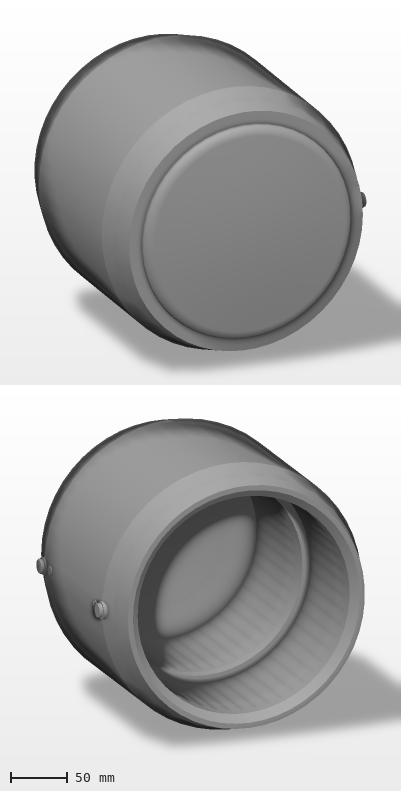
import cadquery as cq
import math

body_length = 217.5
body_radius = 122.38
end_radius = 111.5
taper_length = 36.7
bore_radius = 99.8
mouth_radius = 106.8
mouth_depth = 7.0

cap_start = 105.8
total_length = 233.3
cap_bore_radius = 92.3
cap_neck_radius = 91.5
cap_neck_start = 114.8
dome_radius = 561.4
knuckle_radius = 10.0
cap_wall = 7.5

terminal_flange_radius = 8.0
terminal_flange_top = 123.8
terminal_neck_radius = 6.2
terminal_head_radius = 6.7
terminal_head_height = 1.7
overall_width = 249.5
terminal_top = overall_width - body_radius
embed_depth = 6.2
terminal_base = body_radius - embed_depth
terminal_inset = 35.7
terminal_positions = (terminal_inset, body_length - terminal_inset)

pin_radius = 4.5
pin_top = 123.3
pin_offset = 16.0


def sleeve():
    """Hollow sleeve with conical ends and a chamfered bore mouth at the open -X end."""
    profile = (
        cq.Workplane("XY")
        .moveTo(0, mouth_radius)
        .lineTo(0, end_radius)
        .lineTo(taper_length, body_radius)
        .lineTo(body_length - taper_length, body_radius)
        .lineTo(body_length, end_radius)
        .lineTo(body_length, bore_radius)
        .lineTo(mouth_depth, bore_radius)
        .close()
    )
    return profile.revolve(360, (0, 0, 0), (1, 0, 0))


def cap():
    """Tubular plug closed by a shallow dome of nearly even wall thickness."""
    dome_center_x = total_length - dome_radius
    inner_dome_radius = dome_radius - cap_wall

    def dome_point(distance, radius):
        return dome_center_x + math.sqrt(distance**2 - radius**2), radius

    knuckle_x, knuckle_y = dome_point(dome_radius - knuckle_radius, bore_radius - knuckle_radius)
    dome_edge_radius = knuckle_y * dome_radius / (dome_radius - knuckle_radius)
    dome_edge_angle = math.asin(dome_edge_radius / dome_radius)
    knuckle_mid_angle = (math.pi / 2 + dome_edge_angle) / 2
    knuckle_middle = (
        knuckle_x + knuckle_radius * math.cos(knuckle_mid_angle),
        knuckle_y + knuckle_radius * math.sin(knuckle_mid_angle),
    )
    profile = (
        cq.Workplane("XY")
        .moveTo(cap_start, cap_bore_radius)
        .lineTo(cap_start, bore_radius)
        .lineTo(knuckle_x, bore_radius)
        .threePointArc(knuckle_middle, dome_point(dome_radius, dome_edge_radius))
        .threePointArc(dome_point(dome_radius, dome_edge_radius / 2), (total_length, 0))
        .lineTo(total_length - cap_wall, 0)
        .threePointArc(
            dome_point(inner_dome_radius, cap_neck_radius / 2),
            dome_point(inner_dome_radius, cap_neck_radius),
        )
        .lineTo(cap_neck_start, cap_neck_radius)
        .close()
    )
    return profile.revolve(360, (0, 0, 0), (1, 0, 0))


def radial_disc(x, radius, bottom, top):
    """Disc pointing along +Y, spanning from bottom to top."""
    return (
        cq.Workplane("XZ", origin=(x, bottom, 0))
        .circle(radius)
        .extrude(bottom - top)
    )


def terminal(x):
    """Flanged stud with a slightly wider, bevelled head."""
    flange = radial_disc(x, terminal_flange_radius, terminal_base, terminal_flange_top)
    neck = radial_disc(x, terminal_neck_radius, terminal_base, terminal_top)
    head_bottom = terminal_top - terminal_head_height
    head = radial_disc(x, terminal_head_radius, head_bottom, terminal_top)
    head = head.faces(">Y").chamfer(terminal_head_height / 2)
    return flange.union(neck).union(head)


result = sleeve().union(cap())
for terminal_x, inward in zip(terminal_positions, (1, -1)):
    result = result.union(terminal(terminal_x))
    pin_x = terminal_x + inward * pin_offset
    result = result.union(radial_disc(pin_x, pin_radius, terminal_base, pin_top))